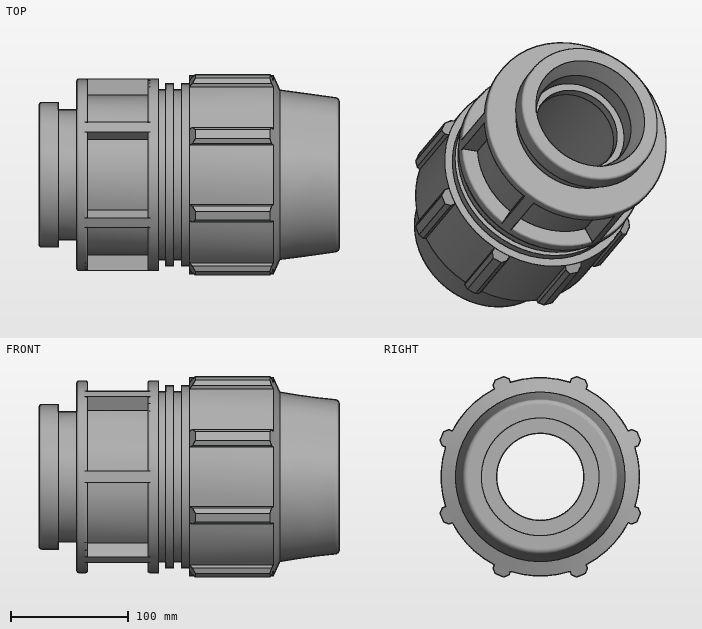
import cadquery as cq
import math

TOTAL_LENGTH = 255.0

COLLAR_DIA = 123.0
COLLAR_END = 16.4
COLLAR_FILLET = 2.5
NECK_DIA = 0.9 * COLLAR_DIA

BARREL_DIA = 162.9
BARREL_START = 32.0
BARREL_END = 101.5
FLANGE_WIDTH = 9.2
FLANGE_FILLET = 2.0
BARREL_CORE_DIA = 136.0
BARREL_RIB_COUNT = 6
BARREL_RIB_WIDTH = 9.5
BARREL_FIRST_RIB_ANGLE = 90

NUT_DIA = 168.5
NUT_START = 127.7
SHOULDER_START = 198.8
SHOULDER_END = 204.4
SHOULDER_END_DIA = 144.0
NOSE_TIP_DIA = 130.2
NOSE_FILLET = 4.2

SHANK_DIA = 144.8
RING_DIA = 154.75
RING_WIDTH = 6.8
RING_STARTS = (107.5, NUT_START - RING_WIDTH)

GRIP_COUNT = 8
GRIP_WIDTH = 14.9
GRIP_TOP_RADIUS = 90.53
GRIP_CHAMFER = 3.5
GRIP_RAMP = 5.0

MOUTH_DIA = 0.8 * COLLAR_DIA
SEAT_DIA = 0.7 * COLLAR_DIA
THROAT_DIA = 0.6 * COLLAR_DIA
SOCKET_DIA = 100.0
MOUTH_DEPTH = COLLAR_END
THROAT_START = 33.5
SOCKET_START = 42.3


def revolved(outline):
    """Solid of revolution about X from (x, radius) points that start and end on the axis."""
    return cq.Workplane("XY").polyline(outline).close().revolve(360, (0, 0, 0), (1, 0, 0))


def disc(start, end, diameter):
    """Cylinder along X between two stations."""
    return cq.Workplane("YZ", origin=(start, 0, 0)).circle(diameter / 2).extrude(end - start)


def around_axis(body, count, first_angle):
    """Copies of a body spread evenly about X."""
    copies = cq.Workplane("XY")
    for i in range(count):
        angle = first_angle + i * 360 / count
        copies = copies.add(body.rotate((0, 0, 0), (1, 0, 0), angle))
    return copies.combine()


def collar_and_shank():
    collar = disc(0, COLLAR_END, COLLAR_DIA).faces("<X").fillet(COLLAR_FILLET)
    neck = disc(COLLAR_END, BARREL_START, NECK_DIA)
    shank = disc(BARREL_END, NUT_START, SHANK_DIA)
    body = collar.union(neck).union(shank)
    for start in RING_STARTS:
        body = body.union(disc(start, start + RING_WIDTH, RING_DIA))
    return body


def barrel():
    front_end = BARREL_START + FLANGE_WIDTH
    rear_start = BARREL_END - FLANGE_WIDTH
    front = disc(BARREL_START, front_end, BARREL_DIA).edges().fillet(FLANGE_FILLET)
    rear = disc(rear_start, BARREL_END, BARREL_DIA).faces("<X").edges().fillet(FLANGE_FILLET)
    core = disc(BARREL_START, BARREL_END, BARREL_CORE_DIA)

    rib_start = front_end - FLANGE_FILLET
    rib_length = rear_start + FLANGE_FILLET - rib_start
    rib = cq.Workplane("XY").box(
        rib_length, BARREL_RIB_WIDTH, BARREL_DIA / 2, centered=(False, True, False)
    )
    ribs = around_axis(rib.translate((rib_start, 0, 0)), BARREL_RIB_COUNT, BARREL_FIRST_RIB_ANGLE)
    ribs = ribs.intersect(disc(BARREL_START, BARREL_END, BARREL_DIA))
    return core.union(front).union(rear).union(ribs)


def grips():
    """Chamfered ribs, ramped at the front and cut by the nut's shoulder cone at the rear."""
    grip = cq.Workplane("XY").box(
        SHOULDER_END - NUT_START, GRIP_WIDTH, GRIP_TOP_RADIUS, centered=(False, True, False)
    )
    grip = grip.translate((NUT_START, 0, 0)).edges("|X and >Z").chamfer(GRIP_CHAMFER)

    nut_radius = NUT_DIA / 2
    shoulder_slope = (nut_radius - SHOULDER_END_DIA / 2) / (SHOULDER_END - SHOULDER_START)
    ramp_slope = (GRIP_TOP_RADIUS - nut_radius) / GRIP_RAMP
    clear_radius = math.hypot(GRIP_TOP_RADIUS, GRIP_WIDTH / 2)
    rise = clear_radius - nut_radius
    envelope = revolved([
        (NUT_START, 0),
        (NUT_START, nut_radius),
        (NUT_START + rise / ramp_slope, clear_radius),
        (SHOULDER_START - rise / shoulder_slope, clear_radius),
        (SHOULDER_END, SHOULDER_END_DIA / 2),
        (SHOULDER_END, 0),
    ])
    pitch = 360 / GRIP_COUNT
    return around_axis(grip, GRIP_COUNT, pitch / 2).intersect(envelope)


def nut():
    body = revolved([
        (NUT_START, 0),
        (NUT_START, NUT_DIA / 2),
        (SHOULDER_START, NUT_DIA / 2),
        (SHOULDER_END, SHOULDER_END_DIA / 2),
        (TOTAL_LENGTH, NOSE_TIP_DIA / 2),
        (TOTAL_LENGTH, 0),
    ])
    body = body.faces(">X").edges().fillet(NOSE_FILLET)
    return body.union(grips())


def bore():
    return revolved([
        (0, 0),
        (0, MOUTH_DIA / 2),
        (MOUTH_DEPTH, SEAT_DIA / 2),
        (THROAT_START, SEAT_DIA / 2),
        (THROAT_START, THROAT_DIA / 2),
        (SOCKET_START, THROAT_DIA / 2),
        (SOCKET_START, SOCKET_DIA / 2),
        (TOTAL_LENGTH, SOCKET_DIA / 2),
        (TOTAL_LENGTH, 0),
    ])


result = collar_and_shank().union(barrel()).union(nut()).cut(bore())